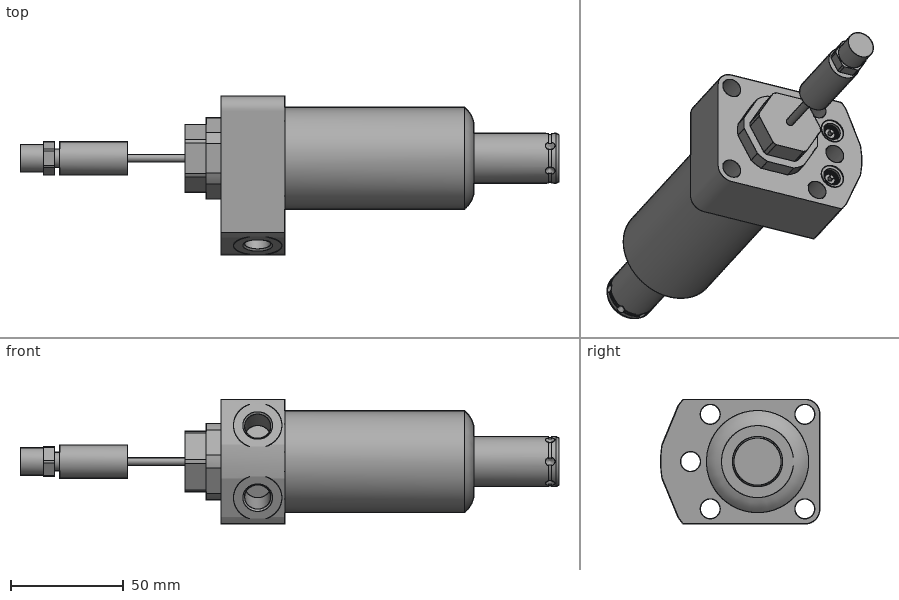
import cadquery as cq
import math

overall_length = 239.28

block_length = 28.5
block_height = 55.37
block_depth = 70.79
block_back_y = block_height / 2
block_nose_radius = block_depth - block_back_y
block_corner_radius = 6.5
bolt_hole_diameter = 8.7
bolt_spacing = 42.0
nose_hole_y = -29.75

port_angle = 22.5
port_flat_distance = 42.1
port_x = 16.4
port_spotface_diameter = 21.5
port_spotface_depth = 0.2
port_rim_diameter = 13.2
port_bore_diameter = 11.6
port_depth = 14.0

screw_center_y = -28.65
screw_center_z = 11.8
screw_recess_diameter = 10.8
screw_recess_depth = 0.5
screw_socket_diameter = 8.0
screw_socket_depth = 2.0
screw_step_diameters = (7.0, 6.0, 5.0)
screw_step_depth = 0.3
screw_pin_diameter = 2.0

collar_length = 6.5
collar_across_flats = 34.0
collar_corner_diameter = 36.4
nut_length = 9.4
nut_across_flats = 27.0
nut_corner_diameter = 30.2

rod_diameter = 3.5
rod_exposed_length = 25.5
coupling_diameter = 14.9
coupling_length = 30.2
neck_diameter = 8.3
neck_length = 2.2
locknut_length = 5.0
locknut_across_flats = 13.4
locknut_corner_diameter = 14.9
tip_diameter = 12.3
tip_length = 10.2

body_diameter = 45.4
body_straight_length = 79.7
body_crown_length = 4.2
body_crown_end_radius = 16.0
body_crown_bulge = 0.7

tail_diameter = 22.3
tail_chamfer_length = 1.4
tail_chamfer_depth = 0.7
groove_width = 1.4
groove_depth = 0.4
groove_from_end = 4.0
dimple_count = 6
dimple_diameter = 4.2

nut_front_x = -collar_length - nut_length
coupling_back_x = nut_front_x - rod_exposed_length
coupling_front_x = coupling_back_x - coupling_length
locknut_back_x = coupling_front_x - neck_length
locknut_front_x = locknut_back_x - locknut_length
tip_x = locknut_front_x - tip_length
tail_end_x = tip_x + overall_length
body_shoulder_x = block_length + body_straight_length
body_end_x = body_shoulder_x + body_crown_length


def plane_across_axis(x):
    """Plane normal to +X at x, with local axes along Y and Z."""
    return cq.Workplane("YZ", origin=(x, 0, 0))


def cylinder(x, length, diameter, y=0, z=0):
    return plane_across_axis(x).center(y, z).circle(diameter / 2).extrude(length)


def hexagon(x, length, across_flats, corner_diameter):
    """Hexagon prism, flats facing +Z and -Z, with its corners turned down to a diameter."""
    prism = plane_across_axis(x).polygon(6, across_flats / math.cos(math.radians(30))).extrude(length)
    return prism.intersect(cylinder(x, length, corner_diameter))


def port_direction(side):
    angle = math.radians(port_angle)
    return cq.Vector(0, -math.cos(angle), side * math.sin(angle))


def port_workplane(side, distance):
    """Plane facing outwards on the port axis, with its local x along X."""
    direction = port_direction(side)
    center = cq.Vector(port_x, 0, 0) + direction * distance
    return cq.Workplane(cq.Plane(origin=center.toTuple(), xDir=(1, 0, 0), normal=direction.toTuple()))


def cut_port(block, side):
    spotface = port_workplane(side, port_flat_distance - port_spotface_depth)
    block = block.cut(spotface.circle(port_spotface_diameter / 2).extrude(port_depth))
    block = block.cut(spotface.circle(port_bore_diameter / 2).extrude(-port_depth))
    rim_chamfer = (port_rim_diameter - port_bore_diameter) / 2
    countersink = spotface.circle(port_rim_diameter / 2).extrude(-rim_chamfer, taper=45)
    return block.cut(countersink)


def cut_screw(block, side):
    """Shallow recess, deeper socket with a stepped floor, and a pin standing in its middle."""
    center = (screw_center_y, side * screw_center_z)
    block = block.cut(cylinder(0, screw_recess_depth, screw_recess_diameter, *center))
    block = block.cut(cylinder(0, screw_socket_depth, screw_socket_diameter, *center))
    floor_x = screw_socket_depth
    for diameter in screw_step_diameters:
        floor_x += screw_step_depth
        block = block.cut(cylinder(0, floor_x, diameter, *center))
    pin_length = floor_x - screw_recess_depth
    return block.union(cylinder(screw_recess_depth, pin_length, screw_pin_diameter, *center))


def make_block():
    back_half = cq.Workplane("XY").box(
        block_length, block_back_y, block_height, centered=(False, False, True)
    )
    back_half = back_half.edges("|X and >Y").fillet(block_corner_radius)
    nose_half = cq.Workplane("XY", origin=(0, -block_nose_radius, 0)).box(
        block_length, block_nose_radius, block_height, centered=(False, False, True)
    )
    nose_half = nose_half.intersect(cylinder(0, block_length, 2 * block_nose_radius))
    block = back_half.union(nose_half)
    cutter_length = 4 * block_length
    for side in (1, -1):
        flat = port_workplane(side, port_flat_distance)
        block = block.cut(flat.rect(cutter_length, block_height).extrude(block_height / 2))
    for side in (1, -1):
        block = cut_port(block, side)
        block = cut_screw(block, side)
    bolt_holes = plane_across_axis(0).rect(bolt_spacing, bolt_spacing, forConstruction=True).vertices()
    block = block.cut(bolt_holes.circle(bolt_hole_diameter / 2).extrude(block_length))
    return block.cut(cylinder(0, block_length, bolt_hole_diameter, nose_hole_y))


def make_rod_and_coupling():
    parts = cylinder(tip_x, tip_length, tip_diameter)
    parts = parts.union(
        hexagon(locknut_front_x, locknut_length, locknut_across_flats, locknut_corner_diameter)
    )
    parts = parts.union(cylinder(locknut_back_x, neck_length, neck_diameter))
    parts = parts.union(cylinder(coupling_front_x, coupling_length, coupling_diameter))
    return parts.union(cylinder(coupling_back_x, rod_exposed_length, rod_diameter))


def make_body():
    radius = body_diameter / 2
    chord_angle = math.atan2(radius - body_crown_end_radius, body_crown_length)
    crown_middle = (
        (body_shoulder_x + body_end_x) / 2 + body_crown_bulge * math.sin(chord_angle),
        (radius + body_crown_end_radius) / 2 + body_crown_bulge * math.cos(chord_angle),
    )
    profile = (
        cq.Workplane("XY")
        .moveTo(block_length, 0)
        .lineTo(block_length, radius)
        .lineTo(body_shoulder_x, radius)
        .threePointArc(crown_middle, (body_end_x, body_crown_end_radius))
        .lineTo(body_end_x, 0)
        .close()
    )
    return profile.revolve(360, (0, 0, 0), (1, 0, 0))


def make_tail():
    radius = tail_diameter / 2
    tail = cylinder(body_end_x, tail_end_x - body_end_x, tail_diameter)
    tail = tail.faces(">X").chamfer(tail_chamfer_length, tail_chamfer_depth)
    groove_x = tail_end_x - groove_from_end - groove_width / 2
    groove = plane_across_axis(groove_x).circle(radius).circle(radius - groove_depth).extrude(groove_width)
    tail = tail.cut(groove)
    dimple_radius = dimple_diameter / 2
    dimple_mouth = cq.Vector(tail_end_x - groove_from_end, 0, radius)
    dimple = cq.Workplane(cq.Solid.makeCone(dimple_radius, 0, dimple_radius, dimple_mouth, cq.Vector(0, 0, -1)))
    first_angle = 360 / dimple_count / 2
    for index in range(dimple_count):
        angle = first_angle + index * 360 / dimple_count
        tail = tail.cut(dimple.rotate((0, 0, 0), (1, 0, 0), angle))
    return tail


result = make_block()
result = result.union(hexagon(-collar_length, collar_length, collar_across_flats, collar_corner_diameter))
result = result.union(hexagon(nut_front_x, nut_length, nut_across_flats, nut_corner_diameter))
result = result.union(make_rod_and_coupling())
result = result.union(make_body())
result = result.union(make_tail())